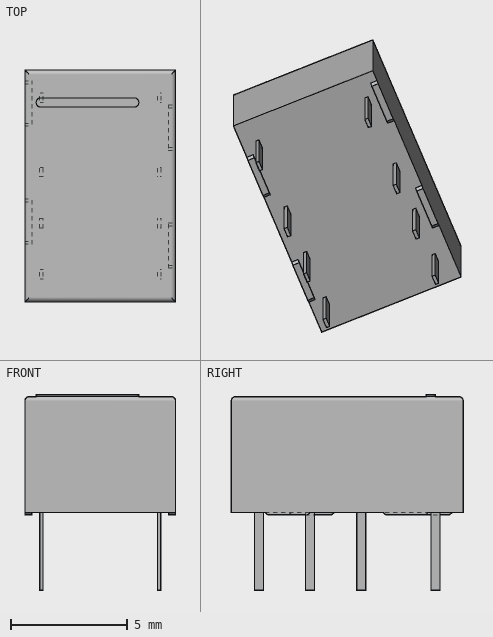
import cadquery as cq

WIDTH = 6.5
LENGTH = 10
HEIGHT = 5
TOP_RADIUS = 0.2

BAR_LENGTH = 4.42
BAR_WIDTH = 0.4
BAR_HEIGHT = 0.08
BAR_X = -0.55
BAR_Y = 3.6

PIN_THICKNESS = 0.15
PIN_WIDTH = 0.4
PIN_LENGTH = 3.35
PIN_ROW_SPACING = 5.08
PIN_Y = (3.8, 0.6, -1.6, -3.8)

FOOT_WIDTH = 0.3
FOOT_HEIGHT = 0.1
FOOT_END_RUN = 0.12
FOOT_LENGTH = 1.94
FOOT_PITCH = 5.08
LEFT_FOOT_Y = 4.52
RIGHT_FOOT_Y = 3.48


def make_housing():
    box = cq.Workplane("XY").box(WIDTH, LENGTH, HEIGHT, centered=(True, True, False))
    return box.faces(">Z").edges().fillet(TOP_RADIUS)


def make_bar():
    return (
        cq.Workplane("XY", origin=(BAR_X, BAR_Y, HEIGHT))
        .slot2D(BAR_LENGTH, BAR_WIDTH)
        .extrude(BAR_HEIGHT)
    )


def make_pins():
    centres = [(side * PIN_ROW_SPACING / 2, y) for side in (-1, 1) for y in PIN_Y]
    return cq.Workplane("XY").pushPoints(centres).rect(PIN_THICKNESS, PIN_WIDTH).extrude(-PIN_LENGTH)


def make_foot(x_min, y_max):
    """Trapezoidal foot with sloped ends, narrowing downwards."""
    y_min = y_max - FOOT_LENGTH
    outline = [
        (y_max, 0),
        (y_max - FOOT_END_RUN, -FOOT_HEIGHT),
        (y_min + FOOT_END_RUN, -FOOT_HEIGHT),
        (y_min, 0),
    ]
    return cq.Workplane("YZ", origin=(x_min, 0, 0)).polyline(outline).close().extrude(FOOT_WIDTH)


result = make_housing().union(make_bar()).union(make_pins())
for foot_index in range(2):
    shift = foot_index * FOOT_PITCH
    result = result.union(make_foot(-WIDTH / 2, LEFT_FOOT_Y - shift))
    result = result.union(make_foot(WIDTH / 2 - FOOT_WIDTH, RIGHT_FOOT_Y - shift))